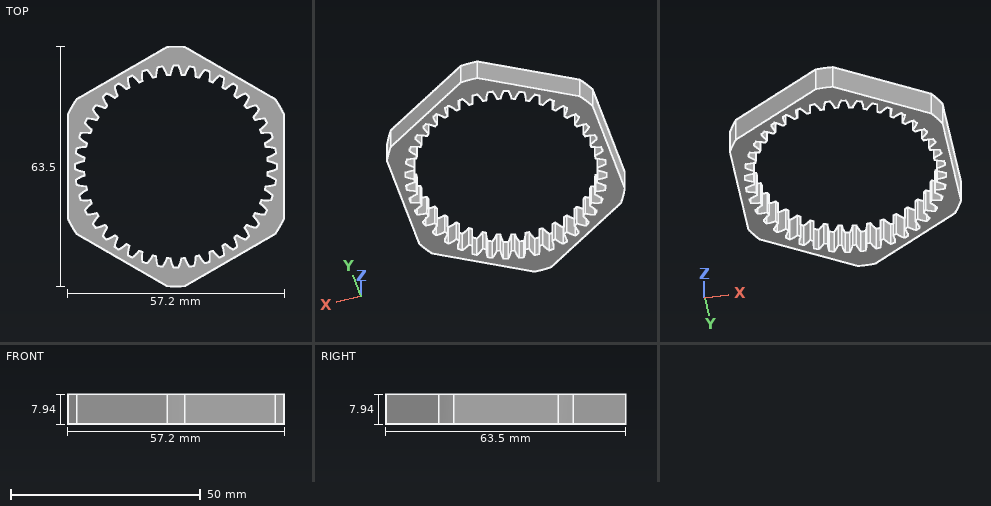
import math

import cadquery as cq

ACROSS_FLATS = 57.15
ACROSS_CORNERS = 63.5
THICKNESS = 7.9375
HEXAGON_SIDES = 6

TOOTH_COUNT = 40
MODULE = 1.27
PRESSURE_ANGLE = math.radians(20)
BACKLASH = 0.3
TIP_HEIGHT = 0.9 * MODULE
ROOT_DEPTH = MODULE

PITCH_ANGLE = 2 * math.pi / TOOTH_COUNT
PITCH_RADIUS = TOOTH_COUNT * MODULE / 2
TIP_RADIUS = PITCH_RADIUS - TIP_HEIGHT
ROOT_RADIUS = PITCH_RADIUS + ROOT_DEPTH
MID_RADIUS = (TIP_RADIUS + ROOT_RADIUS) / 2
BASE_RADIUS = PITCH_RADIUS * math.cos(PRESSURE_ANGLE)
SPACE_WIDTH = math.pi * MODULE / 2 + BACKLASH


def polar(radius, angle):
    return (radius * math.cos(angle), radius * math.sin(angle))


def involute(angle):
    return math.tan(angle) - angle


def space_half_angle(radius):
    """Half the angle a tooth space spans at a radius, between its involute flanks."""
    local_pressure_angle = math.acos(BASE_RADIUS / radius)
    half_angle_at_pitch = SPACE_WIDTH / (2 * PITCH_RADIUS)
    return half_angle_at_pitch + involute(PRESSURE_ANGLE) - involute(local_pressure_angle)


def flank_point(radius, space_center, side):
    """Point on one flank of a tooth space; side is -1 for the first flank, +1 for the second."""
    return polar(radius, space_center + side * space_half_angle(radius))


def make_body():
    hexagon_diameter = ACROSS_FLATS / math.cos(math.pi / HEXAGON_SIDES)
    hexagon = (
        cq.Workplane("XY")
        .transformed(rotate=(0, 0, 180 / HEXAGON_SIDES))
        .polygon(HEXAGON_SIDES, hexagon_diameter)
        .extrude(THICKNESS)
    )
    corner_cylinder = cq.Workplane("XY").circle(ACROSS_CORNERS / 2).extrude(THICKNESS)
    return hexagon.intersect(corner_cylinder)


def make_gear_opening():
    """Solid filling the gear's opening; each involute flank is approximated by one arc."""
    outline = cq.Workplane("XY").moveTo(*flank_point(TIP_RADIUS, 0, -1))
    for space in range(TOOTH_COUNT):
        center = space * PITCH_ANGLE
        tooth_center = center + PITCH_ANGLE / 2
        next_center = center + PITCH_ANGLE
        outline = (
            outline
            .threePointArc(flank_point(MID_RADIUS, center, -1), flank_point(ROOT_RADIUS, center, -1))
            .threePointArc(polar(ROOT_RADIUS, center), flank_point(ROOT_RADIUS, center, 1))
            .threePointArc(flank_point(MID_RADIUS, center, 1), flank_point(TIP_RADIUS, center, 1))
            .threePointArc(polar(TIP_RADIUS, tooth_center), flank_point(TIP_RADIUS, next_center, -1))
        )
    return outline.close().extrude(THICKNESS)


result = make_body().cut(make_gear_opening())